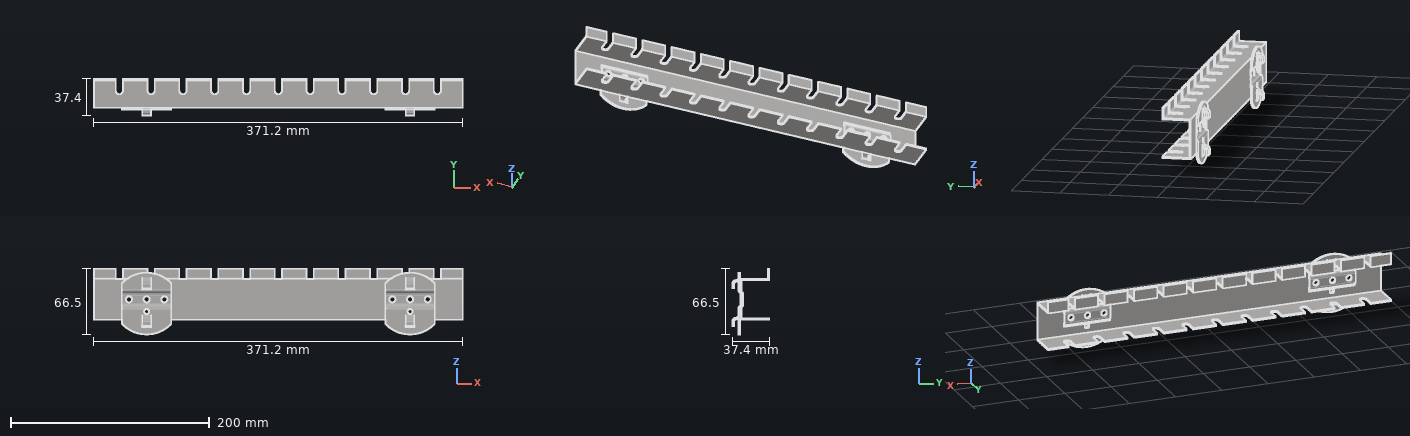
import cadquery as cq
import math

rail_length = 371.2
rail_depth = 29.5
panel_height = 41.2
lip_top = 51.5
rail_thickness = 1.5
lip_bend_radius = 1.0

slot_count = 11
slot_end_margin = 25.5
slot_pitch = (rail_length - 2 * slot_end_margin) / (slot_count - 1)
slot_width = 7.0
slot_depth = 15.5

plate_spacing = 265.0
plate_width = 49.7
plate_height = 62.5
plate_arc_rise = 10.8
plate_thickness = 2.0
plate_bottom = -15.0
plate_top = plate_bottom + plate_height
plate_front = -plate_thickness

groove_center = panel_height / 2
groove_depth = 3.5
groove_opening = 19.0
groove_crest_radius = 3.5
groove_floor_radius = 2.0
groove_bend = math.acos(1 - groove_depth / (groove_crest_radius + groove_floor_radius))
groove_floor = (
    groove_opening - 2 * (groove_crest_radius + groove_floor_radius) * math.sin(groove_bend)
)

groove_hole_diameter = 6.0
groove_hole_pitch = 18.0
pilot_hole_diameter = 5.0
pilot_hole_drop = 12.2

hook_roots = (42.5, 4.5)
hook_width = 9.0
hook_drop = 10.8
hook_root_radius = 2.2
hook_nose_radius = 3.7
hook_window_clearance = 1.0


def box(x_min, x_max, y_min, y_max, z_min, z_max):
    size = (x_max - x_min, y_max - y_min, z_max - z_min)
    return cq.Workplane("XY").box(*size, centered=False).translate((x_min, y_min, z_min))


def make_rail():
    """Channel section with an upturned lip on the rear edge of the top flange."""
    t = rail_thickness
    lip_front = rail_depth - t
    bend = lip_bend_radius * math.sqrt(0.5)
    bend_center = (lip_front - lip_bend_radius, panel_height + lip_bend_radius)
    rail = (
        cq.Workplane("YZ")
        .moveTo(rail_depth, 0)
        .lineTo(0, 0)
        .lineTo(0, panel_height)
        .lineTo(bend_center[0], panel_height)
        .threePointArc((bend_center[0] + bend, bend_center[1] - bend), (lip_front, bend_center[1]))
        .lineTo(lip_front, lip_top)
        .lineTo(rail_depth, lip_top)
        .lineTo(rail_depth, panel_height - t)
        .lineTo(t, panel_height - t)
        .lineTo(t, t)
        .lineTo(rail_depth, t)
        .close()
        .extrude(rail_length)
    )
    slot_end_center = rail_depth - slot_depth + slot_width / 2
    for index in range(slot_count):
        x = slot_end_margin + index * slot_pitch
        left = x - slot_width / 2
        right = x + slot_width / 2
        slot = (
            cq.Workplane("XY")
            .moveTo(left, rail_depth)
            .lineTo(left, slot_end_center)
            .threePointArc((x, rail_depth - slot_depth), (right, slot_end_center))
            .lineTo(right, rail_depth)
            .close()
            .extrude(lip_top)
        )
        rail = rail.cut(slot)
    return rail


def groove_bends(crest_radius, floor_radius):
    """Start, middle and end points of the crest and floor arcs of the groove's upper wall."""
    crest_center = (plate_front + groove_crest_radius, groove_center + groove_opening / 2)
    floor_center = (
        plate_front + groove_depth - groove_floor_radius,
        groove_center + groove_floor / 2,
    )
    angles = (0, groove_bend / 2, groove_bend)
    crest = [
        (crest_center[0] - crest_radius * math.cos(a), crest_center[1] - crest_radius * math.sin(a))
        for a in angles
    ]
    floor = [
        (floor_center[0] + floor_radius * math.cos(a), floor_center[1] + floor_radius * math.sin(a))
        for a in reversed(angles)
    ]
    return crest + floor[1:]


def mirrored(points):
    """The same points reflected about the groove's middle, in reverse order."""
    return [(y, 2 * groove_center - z) for y, z in reversed(points)]


def make_grooved_sheet():
    """Plate-width sheet with the pressed groove, before its ends are rounded."""
    front = groove_bends(groove_crest_radius, groove_floor_radius)
    back = groove_bends(
        groove_crest_radius - plate_thickness, groove_floor_radius + plate_thickness
    )
    section = cq.Workplane("YZ").moveTo(plate_front, plate_top)
    for bends in (front, mirrored(front)):
        section = section.lineTo(*bends[0])
        section = section.threePointArc(*bends[1:3]).threePointArc(*bends[3:5])
    section = section.lineTo(plate_front, plate_bottom).lineTo(0, plate_bottom)
    back.reverse()
    for bends in (mirrored(back), back):
        section = section.lineTo(*bends[0])
        section = section.threePointArc(*bends[1:3]).threePointArc(*bends[3:5])
    section = section.lineTo(0, plate_top).close()
    return section.extrude(plate_width / 2, both=True)


def make_plate_outline():
    """Straight-sided blank with a shallow arc across the top and the bottom."""
    half = plate_width / 2
    side_top = plate_top - plate_arc_rise
    side_bottom = plate_bottom + plate_arc_rise
    reach = groove_depth + plate_thickness
    return (
        cq.Workplane("XZ")
        .moveTo(-half, side_bottom)
        .lineTo(-half, side_top)
        .threePointArc((0, plate_top), (half, side_top))
        .lineTo(half, side_bottom)
        .threePointArc((0, plate_bottom), (-half, side_bottom))
        .close()
        .extrude(reach, both=True)
    )


def make_hook(root):
    """Strip that curves out of the plate at the root height and turns down into a hook."""
    bend_y = plate_front - hook_root_radius
    top = root - hook_root_radius
    under = top - plate_thickness
    nose_z = top - hook_nose_radius
    tip = root - hook_drop
    diagonal = math.sqrt(0.5)
    root_under_radius = hook_root_radius + plate_thickness
    nose_under_radius = hook_nose_radius - plate_thickness

    def root_point(radius):
        return (bend_y + radius * diagonal, root - radius * diagonal)

    def nose_point(radius):
        return (bend_y - radius * diagonal, nose_z + radius * diagonal)

    return (
        cq.Workplane("YZ")
        .moveTo(plate_front, root)
        .threePointArc(root_point(hook_root_radius), (bend_y, top))
        .threePointArc(nose_point(hook_nose_radius), (bend_y - hook_nose_radius, nose_z))
        .lineTo(bend_y - hook_nose_radius, tip)
        .lineTo(bend_y - nose_under_radius, tip)
        .lineTo(bend_y - nose_under_radius, nose_z)
        .threePointArc(nose_point(nose_under_radius), (bend_y, under))
        .threePointArc(root_point(root_under_radius), (0, root))
        .close()
        .extrude(hook_width / 2, both=True)
    )


def make_hook_plate():
    plate = make_grooved_sheet().intersect(make_plate_outline())
    half = hook_width / 2
    for root in hook_roots:
        window_bottom = root - hook_drop - hook_window_clearance
        plate = plate.cut(box(-half, half, plate_front, 0, window_bottom, root))
        plate = plate.union(make_hook(root))
    return plate


def make_panel_window():
    """Opening in the panel that lets the groove pass through it."""
    half_width = plate_width / 2
    half_height = groove_opening / 2
    return box(
        -half_width, half_width, 0, rail_thickness,
        groove_center - half_height, groove_center + half_height,
    )


def make_plate_holes():
    def holes(points, diameter):
        return (
            cq.Workplane("XZ").pushPoints(points).circle(diameter / 2).extrude(plate_height, both=True)
        )

    row = [(step * groove_hole_pitch, groove_center) for step in (-1, 0, 1)]
    pilot = [(0, groove_center - pilot_hole_drop)]
    return holes(row, groove_hole_diameter).union(holes(pilot, pilot_hole_diameter))


result = make_rail()
for side in (-1, 1):
    place = (rail_length / 2 + side * plate_spacing / 2, 0, 0)
    result = result.cut(make_panel_window().translate(place))
    result = result.union(make_hook_plate().translate(place))
    result = result.cut(make_plate_holes().translate(place))